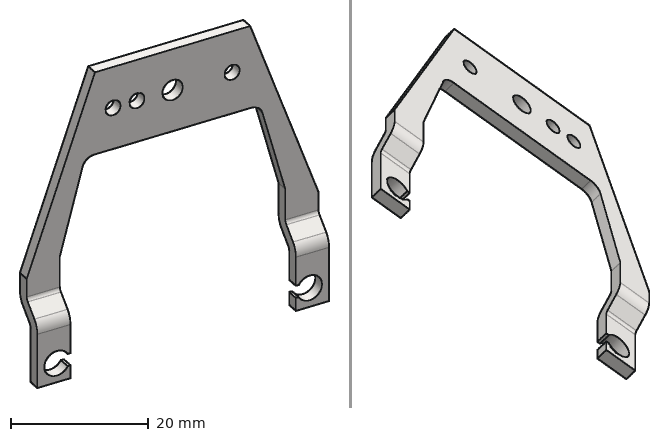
import cadquery as cq
import math

width = 49.0
height = 48.6
depth = 5.1
thickness = 2.0

bend_angle = math.radians(45)
inner_radius = 1.0
outer_radius = inner_radius + thickness
foot_bend_z = 9.2
offset = depth - thickness

top_width = 26.05
arm_width = 5.6
outer_taper_z = 16.95
inner_taper_z = 19.1
window_top_z = height - 13.95
window_top_half_width = 14.7
window_corner_radius = 2.0

hole_z = height - 6.95
large_hole_diameter = 3.4
small_hole_diameter = 2.5
outer_hole_y = 10.0
extra_hole_y = 6.0

hook_diameter = 4.15
hook_z = 3.25
hook_edge_distance = 3.3
hook_slot_height = 2.05


def x_prism(outline):
    """Extrude a YZ outline through the full depth of the part."""
    return outline.extrude(depth)


def x_cylinder(y, z, diameter):
    return x_prism(cq.Workplane("YZ").center(y, z).circle(diameter / 2))


def bent_sheet():
    """Extrude the side profile of the joggled sheet across the width."""
    sine = math.sin(bend_angle)
    cosine = math.cos(bend_angle)
    radius_sum = inner_radius + outer_radius
    straight = (offset - radius_sum * (1 - cosine)) / sine
    plate_bend_z = foot_bend_z + radius_sum * sine + straight * cosine

    def arc_point(center_x, center_z, radius, angle, side):
        """Point on a bend, turned by angle from the horizontal radius on the given side."""
        return (center_x + side * radius * math.cos(angle), center_z + side * radius * math.sin(angle))

    def plate_arc(radius, angle):
        return arc_point(outer_radius, plate_bend_z, radius, angle, -1)

    def foot_arc(radius, angle):
        return arc_point(depth - outer_radius, foot_bend_z, radius, angle, 1)

    half = bend_angle / 2
    profile = (
        cq.Workplane("XZ", origin=(0, width / 2, 0))
        .moveTo(0, height)
        .lineTo(0, plate_bend_z)
        .threePointArc(plate_arc(outer_radius, half), plate_arc(outer_radius, bend_angle))
        .lineTo(*foot_arc(inner_radius, bend_angle))
        .threePointArc(foot_arc(inner_radius, half), foot_arc(inner_radius, 0))
        .lineTo(offset, 0)
        .lineTo(depth, 0)
        .lineTo(depth, foot_bend_z)
        .threePointArc(foot_arc(outer_radius, half), foot_arc(outer_radius, bend_angle))
        .lineTo(*plate_arc(inner_radius, bend_angle))
        .threePointArc(plate_arc(inner_radius, half), plate_arc(inner_radius, 0))
        .lineTo(thickness, height)
        .close()
    )
    return profile.extrude(width)


def outer_outline():
    half_width = width / 2
    half_top = top_width / 2
    points = [
        (-half_width, 0),
        (half_width, 0),
        (half_width, outer_taper_z),
        (half_top, height),
        (-half_top, height),
        (-half_width, outer_taper_z),
    ]
    return x_prism(cq.Workplane("YZ").polyline(points).close())


def window():
    """Opening between the arms, with rounded upper corners."""
    half_gap = width / 2 - arm_width
    points = [
        (-half_gap, 0),
        (half_gap, 0),
        (half_gap, inner_taper_z),
        (window_top_half_width, window_top_z),
        (-window_top_half_width, window_top_z),
        (-half_gap, inner_taper_z),
    ]
    opening = x_prism(cq.Workplane("YZ").polyline(points).close())
    return opening.edges("|X").edges(">Z").fillet(window_corner_radius)


def hook(side):
    """Round hole in one foot, with a slot open toward the middle."""
    y = side * (width / 2 - hook_edge_distance)
    slot = x_prism(
        cq.Workplane("YZ")
        .center(y - side * arm_width / 2, hook_z)
        .rect(arm_width, hook_slot_height)
    )
    return x_cylinder(y, hook_z, hook_diameter).union(slot)


result = bent_sheet().intersect(outer_outline()).cut(window())

result = result.cut(x_cylinder(0, hole_z, large_hole_diameter))
for hole_y in (-outer_hole_y, -extra_hole_y, outer_hole_y):
    result = result.cut(x_cylinder(hole_y, hole_z, small_hole_diameter))

for side in (-1, 1):
    result = result.cut(hook(side))